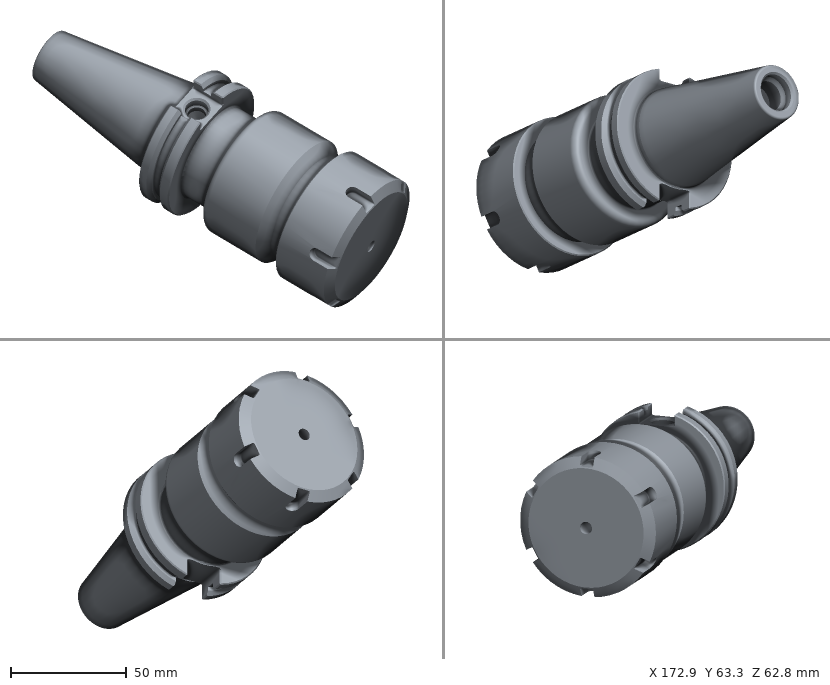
import cadquery as cq
import math


overall_length = 172.9
gauge_x = 68.3
flange_x = 71.4
flange_end_x = 87.5
body_x = 103.4
body_end_x = 133.0
nut_x = 144.4
slot_x = 160.0

gauge_radius = 44.5 / 2
taper_slope = 7 / 24 / 2
tail_radius = gauge_radius - taper_slope * gauge_x
tail_fillet = 1.0
root_fillet = 0.9

flange_radius = 63.3 / 2
flange_chamfer = 0.5
flange_centre_x = (flange_x + flange_end_x) / 2
groove_radius = 56.2 / 2
groove_floor_x = 77.1
groove_floor_width = 4.1
groove_bevel_width = 1.5
groove_bevel_depth = 1.9
key_slot_width = 16.0
key_slot_fillet = 0.5
key_slot_break = 0.5
upper_key_floor = 24.9
lower_key_floor = 22.5

index_mouth_diameter = 12.0
index_bore_diameter = 10.2
index_bore_depth = 4.3
index_drill_diameter = 8.0
index_drill_depth = 7.0
drill_point_angle = 118.0

waist_radius = 44.5 / 2
waist_fillet = 0.9
body_radius = 60.0 / 2
body_fillet = 3.1
spigot_radius = 50.5 / 2

thread_diameter = 16.5
thread_mouth_diameter = 18.2
thread_depth = 4.5
pilot_diameter = 13.3
pilot_depth = 13.8
coolant_diameter = 5.5

nut_radius = 62.8 / 2
nut_back_chamfer = 0.5
nut_bevel_length = 2.5
nut_face_radius = 26.6
slot_count = 6
slot_width = 6.0
slot_floor_radius = 27.1
slot_floor_fillet = 0.5
spigot_end_x = slot_x


def axial_cylinder(start_x, end_x, radius):
    """Solid cylinder on the X axis."""
    return cq.Workplane("YZ", origin=(start_x, 0, 0)).circle(radius).extrude(end_x - start_x)


def revolve_about_x(profile):
    """Revolve an XY profile a full turn about the X axis."""
    return profile.revolve(360, (0, 0, 0), (1, 0, 0))


def fillet_midpoint(centre_x, centre_radius, radius, angle):
    """Point on a fillet arc at an angle in degrees from +X."""
    turn = math.radians(angle)
    return (centre_x + radius * math.cos(turn), centre_radius + radius * math.sin(turn))


def make_holder_blank():
    groove_end_x = groove_floor_x + groove_floor_width
    groove_knee_radius = flange_radius - groove_bevel_depth
    cone_length = body_radius - spigot_radius
    profile = (
        cq.Workplane("XY")
        .moveTo(0, 0)
        .lineTo(0, tail_radius)
        .lineTo(gauge_x, gauge_radius)
        .lineTo(flange_x - root_fillet, gauge_radius)
        .threePointArc(
            fillet_midpoint(flange_x - root_fillet, gauge_radius + root_fillet, root_fillet, 315),
            (flange_x, gauge_radius + root_fillet),
        )
        .lineTo(flange_x, flange_radius - flange_chamfer)
        .lineTo(flange_x + flange_chamfer, flange_radius)
        .lineTo(groove_floor_x - groove_bevel_width, flange_radius)
        .lineTo(groove_floor_x, groove_knee_radius)
        .lineTo(groove_floor_x, groove_radius)
        .lineTo(groove_end_x, groove_radius)
        .lineTo(groove_end_x, groove_knee_radius)
        .lineTo(groove_end_x + groove_bevel_width, flange_radius)
        .lineTo(flange_end_x - flange_chamfer, flange_radius)
        .lineTo(flange_end_x, flange_radius - flange_chamfer)
        .lineTo(flange_end_x, waist_radius + waist_fillet)
        .threePointArc(
            fillet_midpoint(flange_end_x + waist_fillet, waist_radius + waist_fillet, waist_fillet, 225),
            (flange_end_x + waist_fillet, waist_radius),
        )
        .lineTo(body_x - waist_fillet, waist_radius)
        .threePointArc(
            fillet_midpoint(body_x - waist_fillet, waist_radius + waist_fillet, waist_fillet, 315),
            (body_x, waist_radius + waist_fillet),
        )
        .lineTo(body_x, body_radius - body_fillet)
        .threePointArc(
            fillet_midpoint(body_x + body_fillet, body_radius - body_fillet, body_fillet, 135),
            (body_x + body_fillet, body_radius),
        )
        .lineTo(body_end_x, body_radius)
        .lineTo(body_end_x + cone_length, spigot_radius)
        .lineTo(spigot_end_x, spigot_radius)
        .lineTo(spigot_end_x, 0)
        .close()
    )
    return revolve_about_x(profile).faces("<X").edges().fillet(tail_fillet)


def make_axial_bores():
    mouth_depth = (thread_mouth_diameter - thread_diameter) / 2
    step_depth = (thread_diameter - pilot_diameter) / 2
    profile = (
        cq.Workplane("XY")
        .moveTo(0, 0)
        .lineTo(0, thread_mouth_diameter / 2)
        .lineTo(mouth_depth, thread_diameter / 2)
        .lineTo(thread_depth, thread_diameter / 2)
        .lineTo(thread_depth + step_depth, pilot_diameter / 2)
        .lineTo(pilot_depth, pilot_diameter / 2)
        .lineTo(pilot_depth, coolant_diameter / 2)
        .lineTo(overall_length, coolant_diameter / 2)
        .lineTo(overall_length, 0)
        .close()
    )
    return revolve_about_x(profile)


def make_key_slot(floor_height, side):
    """Cutter for one key slot; side is +1 for the +Z slot and -1 for the -Z slot."""
    half_length = (flange_end_x - flange_x) / 2
    half_width = key_slot_width / 2
    broken_half_width = half_width + key_slot_break
    rim_height = math.sqrt(flange_radius**2 - broken_half_width**2)
    depth = flange_radius - floor_height

    channel = (
        cq.Workplane("XY", origin=(flange_centre_x, 0, floor_height))
        .rect(2 * half_length, key_slot_width)
        .extrude(depth)
        .faces("<Z")
        .edges("|X")
        .fillet(key_slot_fillet)
    )
    face_breaks = (
        cq.Workplane("XY", origin=(flange_centre_x, 0, floor_height + key_slot_fillet))
        .moveTo(-half_length, broken_half_width)
        .lineTo(-half_length + key_slot_break, half_width)
        .lineTo(half_length - key_slot_break, half_width)
        .lineTo(half_length, broken_half_width)
        .lineTo(half_length, -broken_half_width)
        .lineTo(half_length - key_slot_break, -half_width)
        .lineTo(-half_length + key_slot_break, -half_width)
        .lineTo(-half_length, -broken_half_width)
        .close()
        .extrude(depth - key_slot_fillet)
    )
    rim_breaks = (
        cq.Workplane("YZ", origin=(flange_x, 0, 0))
        .moveTo(-half_width, rim_height - key_slot_break)
        .lineTo(-broken_half_width, rim_height)
        .lineTo(-broken_half_width, flange_radius)
        .lineTo(broken_half_width, flange_radius)
        .lineTo(broken_half_width, rim_height)
        .lineTo(half_width, rim_height - key_slot_break)
        .close()
        .extrude(2 * half_length)
    )
    cutter = channel.union(face_breaks).union(rim_breaks)
    return cutter if side > 0 else cutter.mirror("XY")


def make_index_hole():
    mouth_depth = (index_mouth_diameter - index_bore_diameter) / 2
    point_length = index_drill_diameter / 2 / math.tan(math.radians(drill_point_angle / 2))
    profile = (
        cq.Workplane("XZ", origin=(flange_centre_x, 0, upper_key_floor))
        .moveTo(0, 0)
        .lineTo(index_mouth_diameter / 2, 0)
        .lineTo(index_bore_diameter / 2, -mouth_depth)
        .lineTo(index_bore_diameter / 2, -index_bore_depth)
        .lineTo(index_drill_diameter / 2, -index_bore_depth)
        .lineTo(index_drill_diameter / 2, -index_drill_depth)
        .lineTo(0, -index_drill_depth - point_length)
        .close()
    )
    return profile.revolve(360, (0, 0, 0), (0, 1, 0))


def make_holder():
    return (
        make_holder_blank()
        .cut(make_axial_bores())
        .cut(make_key_slot(upper_key_floor, 1))
        .cut(make_key_slot(lower_key_floor, -1))
        .cut(make_index_hole())
    )


def make_spanner_slot(angle):
    """Round-ended slot cutter, open at the nut face, turned about X from +Z."""
    round_x = slot_x + slot_width / 2
    cutter = (
        cq.Workplane("XY", origin=(0, 0, slot_floor_radius))
        .moveTo(overall_length, -slot_width / 2)
        .lineTo(round_x, -slot_width / 2)
        .threePointArc((slot_x, 0), (round_x, slot_width / 2))
        .lineTo(overall_length, slot_width / 2)
        .close()
        .extrude(nut_radius - slot_floor_radius)
        .faces("<Z")
        .edges("not >X")
        .fillet(slot_floor_fillet)
    )
    return cutter.rotate((0, 0, 0), (1, 0, 0), angle)


def make_nut():
    profile = (
        cq.Workplane("XY")
        .moveTo(nut_x, 0)
        .lineTo(nut_x, nut_radius - nut_back_chamfer)
        .lineTo(nut_x + nut_back_chamfer, nut_radius)
        .lineTo(overall_length - nut_bevel_length, nut_radius)
        .lineTo(overall_length, nut_face_radius)
        .lineTo(overall_length, 0)
        .close()
    )
    nut = revolve_about_x(profile)
    nut = nut.cut(axial_cylinder(nut_x, spigot_end_x, spigot_radius))
    nut = nut.cut(axial_cylinder(spigot_end_x, overall_length, coolant_diameter / 2))
    for index in range(slot_count):
        nut = nut.cut(make_spanner_slot(index * 360 / slot_count))
    return nut


holder = make_holder()
nut = make_nut()

result = cq.Compound.makeCompound([holder.val(), nut.val()])